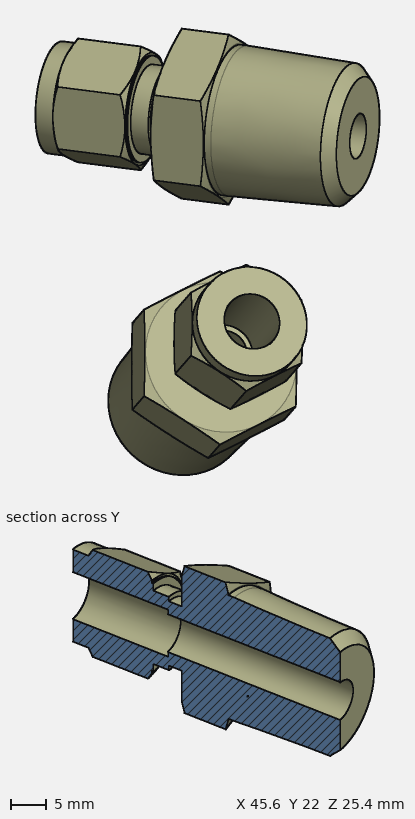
import cadquery as cq
import math

length = 45.6

collar_diameter = 15.95
nut_across_flats = 16.0
nut_start = 2.65
nut_end = 13.55
nut_chamfer_angle = 30.0
washer_diameter = 15.25
washer_end = 13.75

shoulder_diameter = 12.7
shoulder_end = 16.4
neck_diameter = 11.15

body_across_flats = 22.0
body_face_diameter = 21.9
body_start = 18.55
body_end = 26.55
body_chamfer_angle = 15.0

corner_clearance = 0.45

male_diameter = 21.4
taper_start = 27.5
taper_on_diameter = 1 / 16
end_chamfer = 1.75

bore_diameter = 6.45
tube_diameter = 8.03
tube_depth = 16.2


def cylinder(start, end, diameter):
    """Round section on the X axis between two stations."""
    return cq.Workplane("YZ", origin=(start, 0, 0)).circle(diameter / 2).extrude(end - start)


def revolve_profile(points):
    """Solid of revolution about X from a closed (x, radius) outline."""
    return cq.Workplane("XY").polyline(points).close().revolve(360, (0, 0, 0), (1, 0, 0))


def chamfered_hexagon(start, end, across_flats, face_diameter, chamfer_angle):
    """Hexagon with corners up and down (Z), both ends cut back by a cone at the corners."""
    across_corners = across_flats / math.cos(math.radians(30))
    hexagon = (
        cq.Workplane("YZ", origin=(start, 0, 0))
        .transformed(rotate=(0, 0, 90))
        .polygon(6, across_corners)
        .extrude(end - start)
    )
    face_radius = face_diameter / 2
    outer_radius = across_corners / 2 + corner_clearance
    setback = (outer_radius - face_radius) * math.tan(math.radians(chamfer_angle))
    envelope = revolve_profile([
        (start, 0),
        (start, face_radius),
        (start + setback, outer_radius),
        (end - setback, outer_radius),
        (end, face_radius),
        (end, 0),
    ])
    return hexagon.intersect(envelope)


def compression_nut():
    collar = cylinder(0, nut_start, collar_diameter)
    hexagon = chamfered_hexagon(
        nut_start, nut_end, nut_across_flats, collar_diameter, nut_chamfer_angle
    )
    washer = cylinder(nut_end, washer_end, washer_diameter)
    return collar.union(hexagon).union(washer)


def neck():
    shoulder = cylinder(washer_end, shoulder_end, shoulder_diameter)
    return shoulder.union(cylinder(shoulder_end, body_start, neck_diameter))


def male_end():
    chamfer_start = length - end_chamfer
    male_radius = male_diameter / 2
    small_radius = male_radius - (chamfer_start - taper_start) * taper_on_diameter / 2
    return revolve_profile([
        (body_end, 0),
        (body_end, male_radius),
        (taper_start, male_radius),
        (chamfer_start, small_radius),
        (length, small_radius - end_chamfer),
        (length, 0),
    ])


body_hexagon = chamfered_hexagon(
    body_start, body_end, body_across_flats, body_face_diameter, body_chamfer_angle
)

result = (
    compression_nut()
    .union(neck())
    .union(body_hexagon)
    .union(male_end())
    .cut(cylinder(0, length, bore_diameter))
    .cut(cylinder(0, tube_depth, tube_diameter))
)